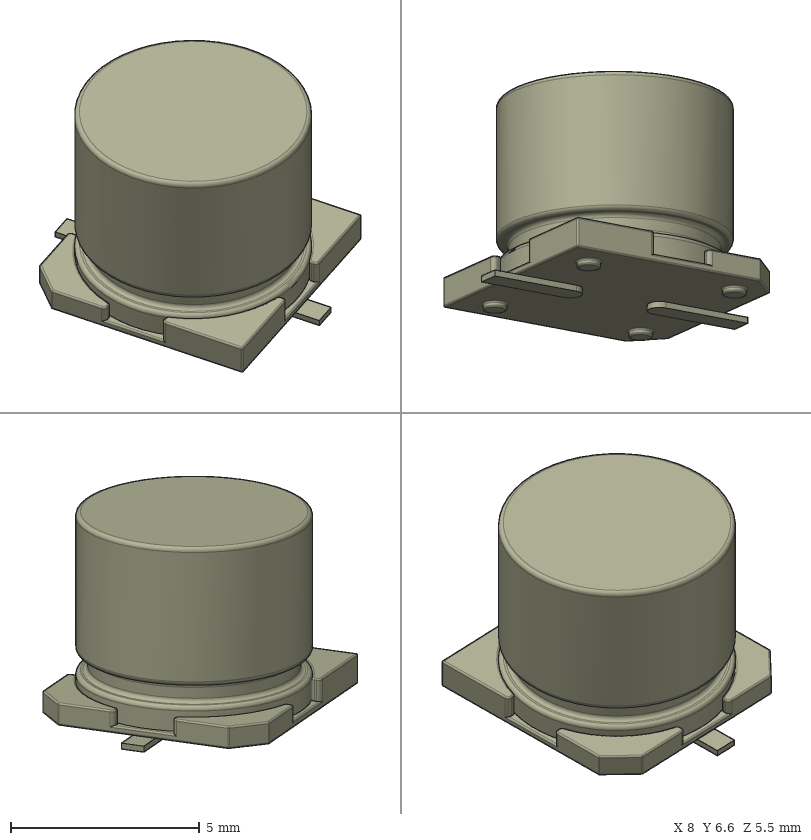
import cadquery as cq
import math

lead_span = 8.0
base_width = 6.6
total_height = 5.5

lead_thickness = 0.17
base_bottom = lead_thickness
floor_top = 0.37
low_corner_top = 0.79
high_corner_top = 1.0

corner_cut = 0.82
notch_half_width = 0.85
tip_round = 0.12
edge_round = 0.05

can_radius = 6.3 / 2
groove_radius = 5.67 / 2
groove_bottom = 1.07
groove_top = 1.63
can_round = 0.13

lead_width = 0.66
lead_inner_end = 1.09
foot_radius = 0.63 / 2
foot_offset = 2.3

half_width = base_width / 2
arc_inset = 1 - math.sqrt(0.5)


def base_prism(bottom, top):
    """Square block with its two -X corners cut off at 45 degrees."""
    return (
        cq.Workplane("XY", origin=(0, 0, bottom))
        .rect(base_width, base_width)
        .extrude(top - bottom)
        .edges("|Z and <X")
        .chamfer(corner_cut)
    )


def make_floor():
    return base_prism(base_bottom, floor_top).edges().fillet(edge_round)


def make_corner(x_side, y_side, top):
    """Raised corner that hugs the can, with rounded tips beside the notches."""
    bottom = base_bottom + edge_round
    height = top - bottom
    quadrant_size = half_width - notch_half_width
    quadrant_center = (half_width + notch_half_width) / 2
    plane = cq.Workplane("XY", origin=(0, 0, bottom))
    quadrant = (
        plane.center(x_side * quadrant_center, y_side * quadrant_center)
        .rect(quadrant_size, quadrant_size)
        .extrude(height)
    )
    seat = plane.circle(can_radius).extrude(height)
    corner = base_prism(bottom, top).intersect(quadrant).cut(seat)

    tip_reach = 2 * notch_half_width
    beside_y_notch = cq.selectors.BoxSelector(
        (0, 0, 0), (x_side * tip_reach, y_side * base_width, total_height)
    )
    beside_x_notch = cq.selectors.BoxSelector(
        (0, 0, 0), (x_side * base_width, y_side * tip_reach, total_height)
    )
    corner = corner.edges("|Z").edges(beside_y_notch + beside_x_notch).fillet(tip_round)
    outer_wall = cq.selectors.BoxSelector(
        (x_side * tip_reach, y_side * tip_reach, 0),
        (x_side * base_width, y_side * base_width, total_height),
    )
    corner = corner.edges("|Z").edges(outer_wall).fillet(edge_round)
    return corner.faces(">Z").edges().fillet(edge_round)


def make_can():
    """Turned can with rounded rims and a crimp groove above the base."""
    rim = can_radius - can_round
    throat = groove_radius + can_round
    bend = can_round * arc_inset
    profile = (
        cq.Workplane("XZ")
        .moveTo(0, base_bottom + edge_round)
        .lineTo(can_radius, base_bottom + edge_round)
        .lineTo(can_radius, groove_bottom - can_round)
        .threePointArc((can_radius - bend, groove_bottom - bend), (rim, groove_bottom))
        .lineTo(throat, groove_bottom)
        .threePointArc(
            (groove_radius + bend, groove_bottom + bend),
            (groove_radius, groove_bottom + can_round),
        )
        .lineTo(groove_radius, groove_top - can_round)
        .threePointArc((groove_radius + bend, groove_top - bend), (throat, groove_top))
        .lineTo(rim, groove_top)
        .threePointArc(
            (can_radius - bend, groove_top + bend),
            (can_radius, groove_top + can_round),
        )
        .lineTo(can_radius, total_height - can_round)
        .threePointArc((can_radius - bend, total_height - bend), (rim, total_height))
        .lineTo(0, total_height)
        .close()
    )
    return profile.revolve(360, (0, 0, 0), (0, 1, 0))


def make_lead(x_side):
    """Flat lead with a half-round inner end, lying under the base."""
    round_center = lead_inner_end + lead_width / 2
    length = lead_span / 2 - round_center
    plane = cq.Workplane("XY")
    strip = (
        plane.center(x_side * (round_center + length / 2), 0)
        .rect(length, lead_width)
        .extrude(lead_thickness)
    )
    inner_end = plane.center(x_side * round_center, 0).circle(lead_width / 2).extrude(lead_thickness)
    return strip.union(inner_end)


def make_foot(x, y):
    """Round standoff: rounded at the tip and flared where it meets the base."""
    bend = edge_round * arc_inset
    root = foot_radius + edge_round
    profile = (
        cq.Workplane("XZ")
        .lineTo(foot_radius - edge_round, 0)
        .threePointArc((foot_radius - bend, bend), (foot_radius, edge_round))
        .lineTo(foot_radius, base_bottom - edge_round)
        .threePointArc((foot_radius + bend, base_bottom - bend), (root, base_bottom))
        .lineTo(0, base_bottom)
        .close()
    )
    return profile.revolve(360, (0, 0, 0), (0, 1, 0)).translate((x, y, 0))


result = make_floor()
for x_side, corner_top in ((-1, low_corner_top), (1, high_corner_top)):
    for y_side in (-1, 1):
        result = result.union(make_corner(x_side, y_side, corner_top))
        result = result.union(make_foot(x_side * foot_offset, y_side * foot_offset))
    result = result.union(make_lead(x_side))
result = result.union(make_can())